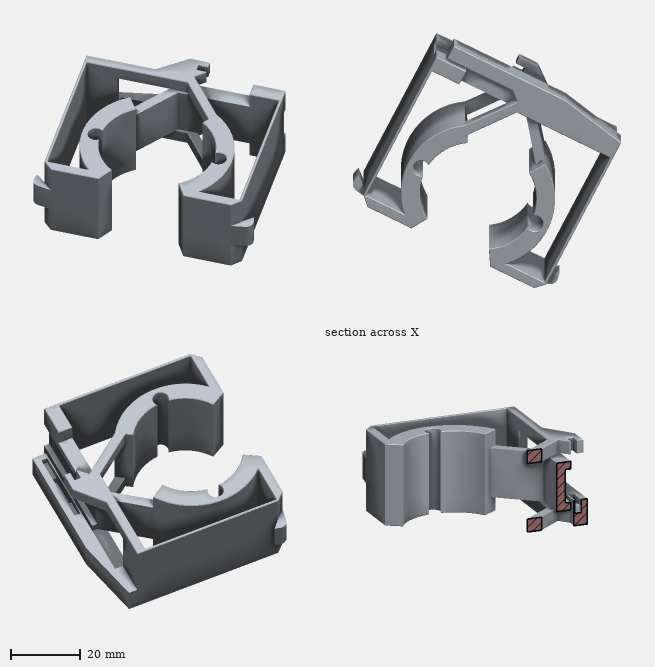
import cadquery as cq

HEIGHT = 25.0
HALF_WIDTH = 29.65
BACK_Y = 54.55
EDGE_BREAK = 0.2

WALL = 0.8
FRONT_THICKNESS = 2.9
FRONT_CORNER = 2.65
FRONT_INNER_X = 12.75
RING_CENTER_X = 1.85
RING_CENTER_Y = 17.45
RING_INNER_RADIUS = 15.2
RING_OUTER_RADIUS = 20.7
RING_TIP_X = 10.0
RING_TIP_RISE = 12.8
RING_BACK_CORNER = (12.95, 34.75)
RING_FOOT_X = 16.65
GROOVE_CENTER_X = 18.4
GROOVE_RADIUS = 2.3

BACK_INNER_Y = 44.9
LEFT_BACK_Y = 47.75
RIGHT_BACK_Y = 49.35
POST_INNER_X = 20.0
BAND_HEIGHT = 4.1
ARM_GAP = 0.9
ARM_INNER_BACK_X = 1.4
ARM_OUTER_BACK_X = 2.7
ARM_ROOT = (11.9, 31.3)
BEAM_FLANGE = 2.45

HOOK_TIP_X = 5.5
HOOK_TIP_Y = 50.3
HOOK_SLOPE_START_X = -8.9
HOOK_SLOPE_END_X = -0.5
SLOT_START_X = 2.5
SLOT_Y = 50.7
SLOT_WIDTH = 1.85

PLATE_HEIGHT = 7.85
PLATE_RIGHT_X = 26.6
PLATE_CORNER_Y = 50.4
PLATE_SLOPE_END_X = -9.6
POCKET_END_X = 24.8
POCKET_DEPTH = 2.0
DEEP_START_X = 8.6
DEEP_END_X = 18.5
DEEP_POCKET_DEPTH = 3.95

TAB_HEIGHT = 7.8
TAB_TIP = (32.6, 5.2)
TAB_OUTER = (33.0, 3.05)
TAB_FRONT = (31.3, 0.8)


def box(x_min, x_max, y_min, y_max, z_min, z_max):
    size = (x_max - x_min, y_max - y_min, z_max - z_min)
    return cq.Workplane("XY").box(*size, centered=False).translate((x_min, y_min, z_min))


def prism(points, z_min, z_max):
    outline = cq.Workplane("XY").workplane(offset=z_min).polyline(points).close()
    return outline.extrude(z_max - z_min)


def side_frame():
    """Right-hand wall, front plate and half ring in one closed outline."""
    inner_x = HALF_WIDTH - WALL
    tip_front = (RING_TIP_X, RING_CENTER_Y - RING_TIP_RISE)
    tip_back = (RING_TIP_X, RING_CENTER_Y + RING_TIP_RISE)
    inner_middle = (RING_CENTER_X + RING_INNER_RADIUS, RING_CENTER_Y)
    outer_middle = (RING_CENTER_X + RING_OUTER_RADIUS, RING_CENTER_Y)
    frame = (
        cq.Workplane("XY")
        .moveTo(HALF_WIDTH, LEFT_BACK_Y)
        .lineTo(HALF_WIDTH, FRONT_CORNER)
        .lineTo(HALF_WIDTH - FRONT_CORNER, 0)
        .lineTo(FRONT_INNER_X, 0)
        .lineTo(*tip_front)
        .threePointArc(inner_middle, tip_back)
        .lineTo(*RING_BACK_CORNER)
        .threePointArc(outer_middle, (RING_FOOT_X, FRONT_THICKNESS))
        .lineTo(inner_x, FRONT_THICKNESS)
        .lineTo(inner_x, LEFT_BACK_Y)
        .close()
        .extrude(HEIGHT)
    )
    groove = cq.Workplane("XY").center(GROOVE_CENTER_X, RING_CENTER_Y).circle(GROOVE_RADIUS).extrude(HEIGHT)
    return frame.cut(groove)


def finger_tab():
    """Right-hand tab, rounded outside and seated on the front corner."""
    run = TAB_OUTER[0] - TAB_FRONT[0]
    rise = TAB_OUTER[1] - TAB_FRONT[1]
    radius = (run**2 + rise**2) / (2 * run)
    return (
        cq.Workplane("XY")
        .workplane(offset=(HEIGHT - TAB_HEIGHT) / 2)
        .moveTo(HALF_WIDTH - FRONT_CORNER, 0)
        .lineTo(HALF_WIDTH, FRONT_CORNER)
        .lineTo(*TAB_TIP)
        .lineTo(*TAB_OUTER)
        .radiusArc(TAB_FRONT, radius)
        .close()
        .extrude(TAB_HEIGHT)
    )


def hook_band(z_min, z_max):
    """Left back wall strip running into the right arm and the slotted hook."""
    return prism(
        [
            (-HALF_WIDTH, BACK_INNER_Y),
            (ARM_INNER_BACK_X, BACK_INNER_Y),
            ARM_ROOT,
            RING_BACK_CORNER,
            (ARM_OUTER_BACK_X, LEFT_BACK_Y),
            (HOOK_TIP_X, HOOK_TIP_Y),
            (HOOK_TIP_X, BACK_Y),
            (HOOK_SLOPE_END_X, BACK_Y),
            (HOOK_SLOPE_START_X, LEFT_BACK_Y),
            (-HALF_WIDTH, LEFT_BACK_Y),
        ],
        z_min,
        z_max,
    )


def middle_beam():
    """Right back beam running into the left arm, between the two hook bands."""
    z_min = BAND_HEIGHT + ARM_GAP
    z_max = HEIGHT - z_min
    ring_x, ring_y = RING_BACK_CORNER
    arm_x, arm_y = ARM_ROOT
    return prism(
        [
            (HALF_WIDTH, BACK_INNER_Y),
            (-ARM_INNER_BACK_X, BACK_INNER_Y),
            (-arm_x, arm_y),
            (-ring_x, ring_y),
            (-ARM_OUTER_BACK_X, LEFT_BACK_Y),
            (-ARM_OUTER_BACK_X, RIGHT_BACK_Y),
            (HALF_WIDTH, RIGHT_BACK_Y),
        ],
        z_min,
        z_max,
    )


def lower_plate():
    """Sloped plate behind the left back wall, stepped down to clear the beam."""
    plate = prism(
        [
            (-HALF_WIDTH, LEFT_BACK_Y),
            (-HALF_WIDTH, PLATE_CORNER_Y),
            (PLATE_SLOPE_END_X, BACK_Y),
            (PLATE_RIGHT_X, BACK_Y),
            (PLATE_RIGHT_X, HOOK_TIP_Y),
            (HOOK_SLOPE_END_X, HOOK_TIP_Y),
            (HOOK_SLOPE_END_X, LEFT_BACK_Y),
        ],
        0,
        PLATE_HEIGHT,
    )
    beam_clearance = box(
        -POST_INNER_X, HOOK_SLOPE_END_X, LEFT_BACK_Y, HOOK_TIP_Y, BAND_HEIGHT, PLATE_HEIGHT
    )
    return plate.cut(beam_clearance)


def pocket(x_min, x_max, depth):
    return box(x_min, x_max, SLOT_Y, SLOT_Y + SLOT_WIDTH, PLATE_HEIGHT - depth, PLATE_HEIGHT)


right_side = side_frame()
tab = finger_tab()
left_post = box(-HALF_WIDTH, -POST_INNER_X, BACK_INNER_Y, LEFT_BACK_Y, 0, HEIGHT)
right_post = box(POST_INNER_X, HALF_WIDTH, BACK_INNER_Y, RIGHT_BACK_Y, 0, HEIGHT)
hook_slot = box(
    SLOT_START_X, HOOK_TIP_X, SLOT_Y, SLOT_Y + SLOT_WIDTH, HEIGHT - BAND_HEIGHT, HEIGHT
)
beam_groove = box(
    -ARM_OUTER_BACK_X,
    HALF_WIDTH,
    LEFT_BACK_Y,
    RIGHT_BACK_Y,
    BAND_HEIGHT + ARM_GAP + BEAM_FLANGE,
    HEIGHT - BAND_HEIGHT - ARM_GAP - BEAM_FLANGE,
)

body = (
    right_side.union(right_side.mirror("YZ"))
    .union(left_post)
    .union(right_post)
    .union(hook_band(0, BAND_HEIGHT))
    .union(hook_band(HEIGHT - BAND_HEIGHT, HEIGHT).cut(hook_slot))
    .union(middle_beam())
    .union(lower_plate())
    .cut(beam_groove)
    .cut(pocket(SLOT_START_X, POCKET_END_X, POCKET_DEPTH))
    .cut(pocket(DEEP_START_X, DEEP_END_X, DEEP_POCKET_DEPTH))
    .clean()
)

body = body.faces("<Z or >Z").edges().chamfer(EDGE_BREAK)
result = body.union(tab).union(tab.mirror("YZ"))